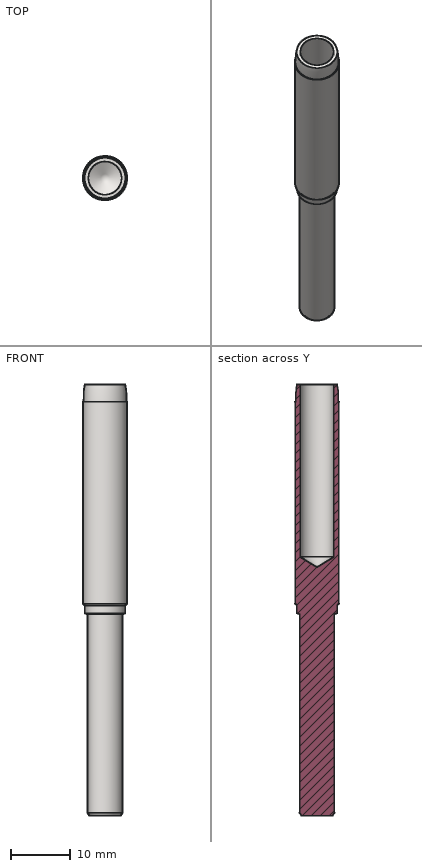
import cadquery as cq
import math

total_length = 73.0
stem_radius = 3.0
collar_radius = 3.4
sleeve_radius = 3.76

stem_length = 34.1
collar_top = 35.55
collar_underside_height = 0.15
sleeve_chamfer_height = 0.4
end_chamfer_height = 0.5
end_chamfer_width = 0.4

nose_length = 2.9
nose_base_radius = 3.65
nose_tip_radius = 3.4
nose_bulge = 0.11

hole_radius = 2.81
hole_depth = 29.2
drill_point_angle = 118.0


def make_body():
    """Revolve the outer half profile around Z."""
    nose_base = total_length - nose_length
    nose_mid_radius = (nose_base_radius + nose_tip_radius) / 2 + nose_bulge
    nose_mid_height = nose_base + nose_length / 2
    profile = (
        cq.Workplane("XZ")
        .lineTo(stem_radius - end_chamfer_width, 0)
        .lineTo(stem_radius, end_chamfer_height)
        .lineTo(stem_radius, stem_length)
        .lineTo(collar_radius, stem_length + collar_underside_height)
        .lineTo(collar_radius, collar_top)
        .lineTo(sleeve_radius, collar_top + sleeve_chamfer_height)
        .lineTo(sleeve_radius, nose_base)
        .lineTo(nose_base_radius, nose_base)
        .threePointArc((nose_mid_radius, nose_mid_height), (nose_tip_radius, total_length))
        .lineTo(0, total_length)
        .close()
    )
    return profile.revolve(360, (0, 0, 0), (0, 1, 0))


def make_hole():
    """Revolve the blind hole with its conical drill point."""
    cone_height = hole_radius / math.tan(math.radians(drill_point_angle / 2))
    hole_floor = total_length - hole_depth
    profile = (
        cq.Workplane("XZ")
        .moveTo(0, hole_floor - cone_height)
        .lineTo(hole_radius, hole_floor)
        .lineTo(hole_radius, total_length)
        .lineTo(0, total_length)
        .close()
    )
    return profile.revolve(360, (0, 0, 0), (0, 1, 0))


result = make_body().cut(make_hole())